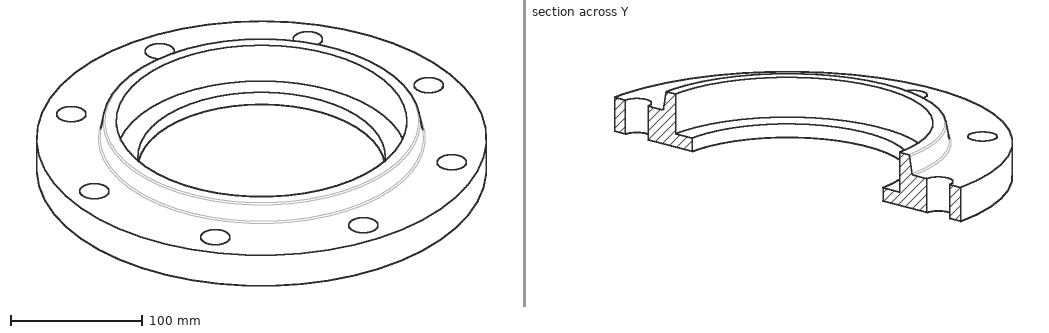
import cadquery as cq

flange_radius = 171.5
flange_thickness = 27.5

overall_height = 43.0
hub_base_radius = 123.5
hub_top_radius = 120.5
hub_edge_round = 1.5

bore_radius = 94.3
socket_radius = 110.7
socket_floor_z = 11.0

bolt_count = 8
bolt_circle_radius = 149.0
bolt_hole_diameter = 22.3


def make_blank():
    """Solid plate and tapered hub, revolved about Z from one half section."""
    half_section = [
        (0, 0),
        (flange_radius, 0),
        (flange_radius, flange_thickness),
        (hub_base_radius, flange_thickness),
        (hub_top_radius, overall_height),
        (0, overall_height),
    ]
    return cq.Workplane("XZ").polyline(half_section).close().revolve(360, (0, 0, 0), (0, 1, 0))


def round_hub_edges(body):
    """Round the hub's top rim and the corner where it meets the plate."""
    rim = body.edges(cq.selectors.RadiusNthSelector(0))
    foot = body.edges(cq.selectors.RadiusNthSelector(1))
    return rim.add(foot).fillet(hub_edge_round)


def cut_bore(body):
    """Cut the through bore and the flat-bottomed socket above it."""
    bore = cq.Workplane("XY").circle(bore_radius).extrude(overall_height)
    socket = (
        cq.Workplane("XY")
        .workplane(offset=socket_floor_z)
        .circle(socket_radius)
        .extrude(overall_height - socket_floor_z)
    )
    return body.cut(bore).cut(socket)


def cut_bolt_holes(body):
    """Drill the ring of bolt holes through the plate, the first one on +X."""
    holes = (
        cq.Workplane("XY")
        .polarArray(bolt_circle_radius, 0, 360, bolt_count)
        .circle(bolt_hole_diameter / 2)
        .extrude(flange_thickness)
    )
    return body.cut(holes)


blank = round_hub_edges(make_blank())
result = cut_bolt_holes(cut_bore(blank))